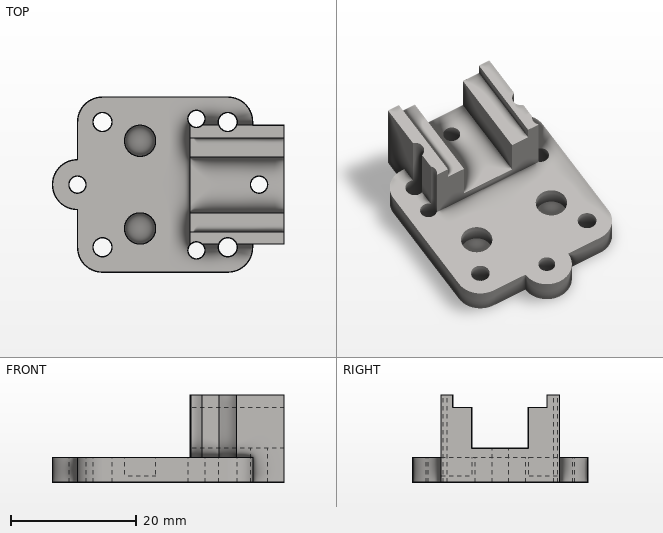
import cadquery as cq

plate_size = 28.0
plate_thickness = 4.0
corner_radius = 4.0
plate_edge = plate_size / 2

tab_radius = 4.0

bracket_start = 4.0
bracket_end = 19.0
bracket_width = 19.0
bracket_height = 14.0
channel_width = 9.0
channel_floor = 5.5
channel_offset_y = -0.05
ledge_width = 15.0
ledge_height = 12.0

mount_hole_diameter = 3.0
mount_hole_offset = 10.0
screw_hole_diameter = 2.7
side_screw_x = 5.0
side_screw_y = 10.5
bracket_screw_x = 15.0
pocket_diameter = 5.0
pocket_depth = 3.0
pocket_x = -4.0
pocket_y = 7.0


def make_plate():
    """Square plate with rounded corners and a round tab on its -X edge."""
    plate = cq.Workplane("XY").rect(plate_size, plate_size).extrude(plate_thickness)
    plate = plate.edges("|Z").fillet(corner_radius)
    tab = cq.Workplane("XY").center(-plate_edge, 0).circle(tab_radius).extrude(plate_thickness)
    return plate.union(tab)


def bracket_block(width, bottom, top):
    """Box as long as the bracket, centred on Y, between two heights."""
    length = bracket_end - bracket_start
    return (
        cq.Workplane("XY", origin=(bracket_start, 0, bottom))
        .rect(length, width)
        .extrude(top - bottom)
        .translate((length / 2, 0, 0))
    )


def make_bracket():
    """Block with a slightly off-centre channel along X, widened at the top by two ledges."""
    block = bracket_block(bracket_width, 0, bracket_height)
    channel = bracket_block(channel_width, channel_floor, bracket_height)
    ledges = bracket_block(ledge_width, ledge_height, bracket_height)
    opening = channel.union(ledges).translate((0, channel_offset_y, 0))
    return block.cut(opening)


def cylinders(points, diameter, bottom, top):
    """Vertical cylinders used as hole cutters."""
    return (
        cq.Workplane("XY", origin=(0, 0, bottom))
        .pushPoints(points)
        .circle(diameter / 2)
        .extrude(top - bottom)
    )


mount_points = [(sx * mount_hole_offset, sy * mount_hole_offset) for sx in (-1, 1) for sy in (-1, 1)]
screw_points = [
    (-plate_edge, 0),
    (bracket_screw_x, 0),
    (side_screw_x, side_screw_y),
    (side_screw_x, -side_screw_y),
]
pocket_points = [(pocket_x, pocket_y), (pocket_x, -pocket_y)]

result = make_plate().union(make_bracket())
result = result.cut(cylinders(mount_points, mount_hole_diameter, 0, bracket_height))
result = result.cut(cylinders(screw_points, screw_hole_diameter, 0, bracket_height))
pocket_floor = plate_thickness - pocket_depth
result = result.cut(cylinders(pocket_points, pocket_diameter, pocket_floor, plate_thickness))